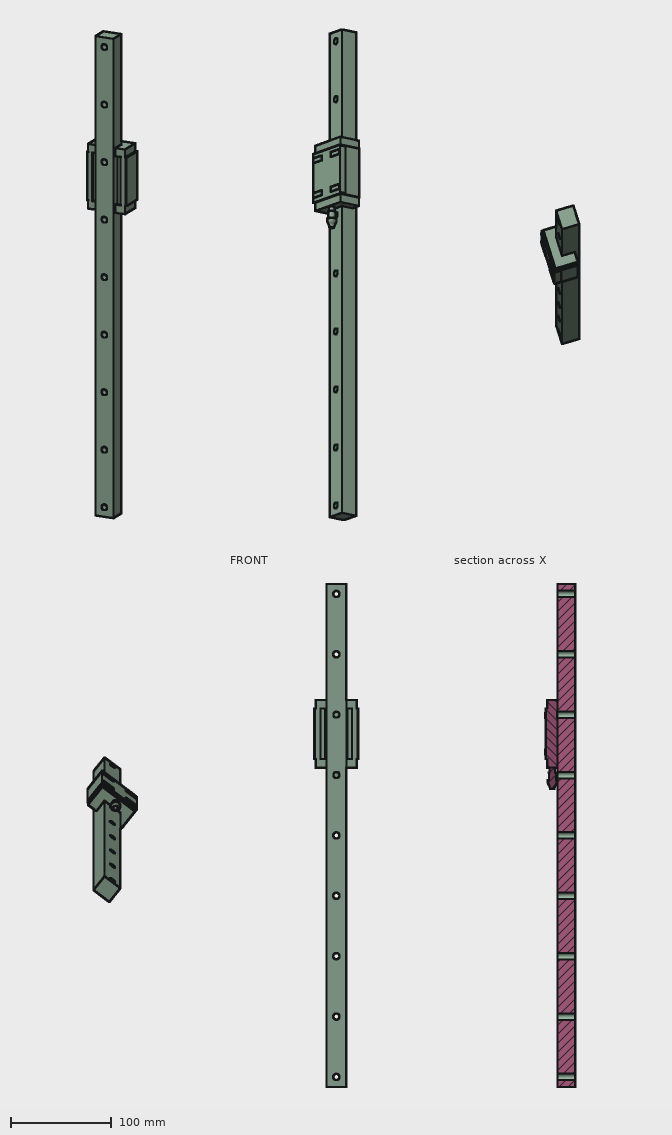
import cadquery as cq


rail_length = 500.0
rail_width = 20.0
rail_height = 18.0
rail_hole_diameter = 6.0
rail_hole_pitch = 60.0
rail_hole_count = 9

carriage_z = 101.0
carriage_length = 67.5
carriage_base_y = 4.6
block_width = 44.0
block_length = 50.5
block_top_y = 29.5
block_chamfer = 0.9
cap_width = 41.0
cap_top_y = 28.0

strip_height = 7.0
strip_thickness = 0.15
strip_end_inset = 1.1

clearance_width = 22.5
relief_width = 31.5
relief_depth = 2.0

pad_width = 13.5
pad_length = 5.0
pad_height = 0.65
pad_spacing_x = 28.5
pad_spacing_z = 36.0

nipple_y = 23.0
neck_radius = 3.0
neck_end = 4.5
stem_radius = 3.75
stem_end = 12.0
head_radius = 4.75
head_bulge_radius = 4.5
head_bulge_end = 15.0
cone_radius = 3.5
head_end = 17.0
tip_radius = 2.25
nipple_end = 21.0


def bar_along_z(width, y_low, y_high, length, center_z):
    """Rectangular bar centred on X = 0 that spans y_low to y_high."""
    center_y = (y_low + y_high) / 2
    return cq.Workplane("XY", origin=(0, center_y, center_z)).box(width, y_high - y_low, length)


def make_rail():
    """Rail with a row of through holes along Y."""
    rail = bar_along_z(rail_width, 0, rail_height, rail_length, 0)
    holes = (
        cq.Workplane("XZ")
        .rarray(5, rail_hole_pitch, 1, rail_hole_count)
        .circle(rail_hole_diameter / 2)
        .extrude(-rail_height)
    )
    return rail.cut(holes)


def make_block_profile():
    """Cross-section of the block, clear of the rail, with chamfered lower corners."""
    half_width = block_width / 2
    half_relief = relief_width / 2
    half_clearance = clearance_width / 2
    relief_y = carriage_base_y + relief_depth
    chamfer_x = half_width - block_chamfer
    chamfer_y = carriage_base_y + block_chamfer
    return cq.Workplane("XY", origin=(0, 0, carriage_z - block_length / 2)).polyline([
        (-half_width, block_top_y),
        (half_width, block_top_y),
        (half_width, chamfer_y),
        (chamfer_x, carriage_base_y),
        (half_relief, carriage_base_y),
        (half_relief, relief_y),
        (half_clearance, relief_y),
        (half_clearance, rail_height),
        (-half_clearance, rail_height),
        (-half_clearance, relief_y),
        (-half_relief, relief_y),
        (-half_relief, carriage_base_y),
        (-chamfer_x, carriage_base_y),
        (-half_width, chamfer_y),
    ]).close()


def make_end_caps():
    """Both end caps, fitting closely around the rail."""
    cap_length = (carriage_length - block_length) / 2
    cap_offset = (block_length + cap_length) / 2
    caps = cq.Workplane("XY")
    for side in (-1, 1):
        cap_z = carriage_z + side * cap_offset
        cap = bar_along_z(cap_width, carriage_base_y, cap_top_y, cap_length, cap_z)
        rail_slot = bar_along_z(rail_width, carriage_base_y, rail_height, cap_length, cap_z)
        caps = caps.add(cap.cut(rail_slot))
    return caps


def make_pads():
    """Four raised pads on the top face of the block."""
    return (
        cq.Workplane("XZ", origin=(0, block_top_y, carriage_z))
        .rarray(pad_spacing_x, pad_spacing_z, 2, 2)
        .rect(pad_width, pad_length)
        .extrude(-pad_height)
    )


def make_side_strip():
    """Raised strip on the -X side of the block, stopping short of the block ends."""
    strip_length = block_length - 2 * strip_end_inset
    strip_x = -(block_width + strip_thickness) / 2
    strip_y = block_top_y - strip_height / 2
    return cq.Workplane("XY", origin=(strip_x, strip_y, carriage_z)).box(
        strip_thickness, strip_height, strip_length
    )


def make_carriage():
    carriage = make_block_profile().extrude(block_length)
    for cap in make_end_caps().vals():
        carriage = carriage.union(cq.Workplane(cap))
    return carriage.union(make_side_strip()).union(make_pads())


def make_nipple():
    """Grease nipple turned about an axis parallel to Z."""
    lower_end_z = carriage_z - carriage_length / 2
    return (
        cq.Workplane("XZ", origin=(0, nipple_y, lower_end_z))
        .lineTo(neck_radius, 0)
        .lineTo(neck_radius, -neck_end)
        .lineTo(stem_radius, -neck_end)
        .lineTo(stem_radius, -stem_end)
        .lineTo(head_radius, -stem_end)
        .threePointArc((head_bulge_radius, -head_bulge_end), (cone_radius, -head_end))
        .lineTo(tip_radius, -nipple_end)
        .lineTo(0, -nipple_end)
        .close()
        .revolve(360, (0, 0, 0), (0, 1, 0))
    )


rail = make_rail()
carriage = make_carriage()
nipple = make_nipple()

result = cq.Compound.makeCompound([rail.val(), carriage.val(), nipple.val()])